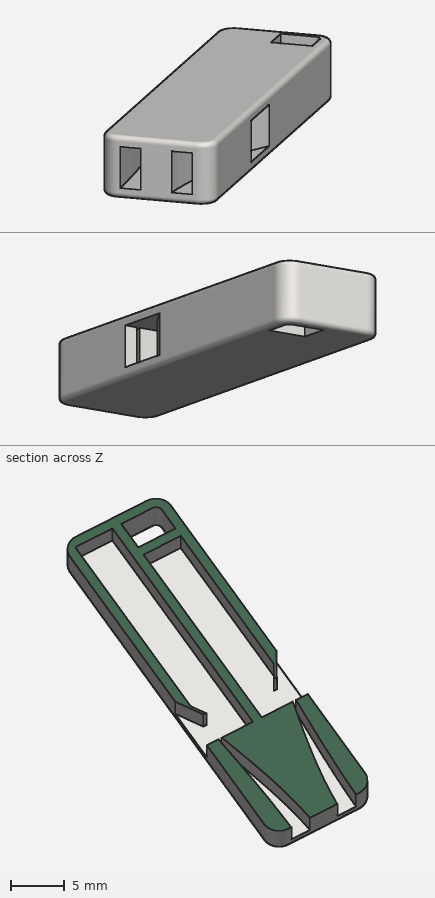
import cadquery as cq

body_width = 11.0
body_length = 38.02
body_height = 6.0
corner_radius = 1.65
rim_radius = 0.5
wall = 1.0
end_wall = 1.02

half_width = body_width / 2
half_length = body_length / 2
cavity_height = body_height - 2 * wall
cavity_inner_x = wall / 2
cavity_outer_x = half_width - wall
cavity_end_y = half_length - end_wall

mouth_inner_x = 1.5
mouth_outer_x = 3.5
windway_end_y = -7.1
inner_wall_facets = 8
outer_wall_facets = 6
inner_mouth_slope = 0.085
inner_exit_slope = 0.257
outer_mouth_slope = 0.015
outer_exit_slope = 0.08

window_back_y = -1.5
lip_tip_y = -4.07
lip_tip_x = 4.0
lip_tip_thickness = 0.35

hole_length = 3.0
hole_start_y = cavity_end_y - hole_length
hole_corner_radius = corner_radius - wall


def make_body():
    """Bar with rounded vertical corners and softened top and bottom rims."""
    bar = cq.Workplane("XY").box(body_width, body_length, body_height)
    return bar.edges("|Z").fillet(corner_radius).faces("<Z or >Z").edges().fillet(rim_radius)


def prism(points, height=cavity_height):
    """Closed XY outline extruded equally above and below mid height."""
    return cq.Workplane("XY").polyline(points).close().extrude(height / 2, both=True)


def windway_wall(mouth_x, mouth_slope, exit_slope, facets):
    """Points from mouth to exit on a cubic curve whose slope eases into the exit slope."""
    length = windway_end_y + half_length
    points = []
    for i in range(facets + 1):
        t = i / facets
        bend = (exit_slope - mouth_slope) * (1 - (1 - t) ** 3) / 3
        points.append((mouth_x + length * (exit_slope * t - bend), -half_length + length * t))
    return points


def make_windway():
    """+X windway between two faceted curved walls, narrowing towards the lip."""
    inner_wall = windway_wall(mouth_inner_x, inner_mouth_slope, inner_exit_slope, inner_wall_facets)
    outer_wall = windway_wall(mouth_outer_x, outer_mouth_slope, outer_exit_slope, outer_wall_facets)
    return prism(inner_wall + outer_wall[::-1])


def make_window():
    """+X sound window; its sloped +Y end is the outer face of the lip."""
    return prism(
        [
            (cavity_inner_x, windway_end_y),
            (half_width, windway_end_y),
            (half_width, window_back_y),
            (lip_tip_x, lip_tip_y),
            (cavity_inner_x, lip_tip_y),
        ]
    )


def make_chamber(end_y):
    """+X resonance chamber behind the lip; the lip's inner face is parallel to its outer slope."""
    lip_inner_x = lip_tip_x - lip_tip_thickness
    lip_length_per_width = (window_back_y - lip_tip_y) / (half_width - lip_tip_x)
    lip_root_y = lip_tip_y + (cavity_outer_x - lip_inner_x) * lip_length_per_width
    return prism(
        [
            (cavity_inner_x, lip_tip_y),
            (lip_inner_x, lip_tip_y),
            (cavity_outer_x, lip_root_y),
            (cavity_outer_x, end_y),
            (cavity_inner_x, end_y),
        ]
    )


def make_lanyard_hole():
    """Through hole whose outer +Y corner follows the body corner."""
    hole = prism(
        [
            (cavity_inner_x, hole_start_y),
            (cavity_outer_x, hole_start_y),
            (cavity_outer_x, cavity_end_y),
            (cavity_inner_x, cavity_end_y),
        ],
        body_height,
    )
    return hole.edges("|Z and >X and >Y").fillet(hole_corner_radius)


def make_air_passage(chamber):
    """+X air passage from the mouth to the end of the chamber."""
    return make_windway().union(make_window()).union(chamber)


right_passage = make_air_passage(make_chamber(hole_start_y - wall))
left_passage = make_air_passage(make_chamber(cavity_end_y)).mirror("YZ")
result = make_body().cut(right_passage).cut(left_passage).cut(make_lanyard_hole())